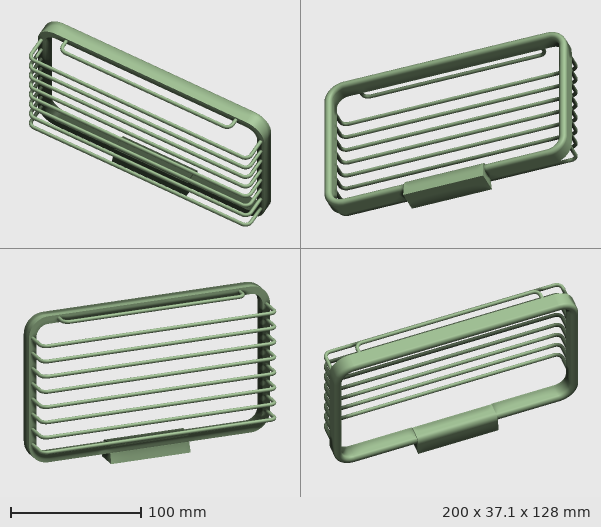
import cadquery as cq
import math


frame_width = 200.0
frame_height = 120.0
frame_depth = 13.0
bar_thickness = 6.2
corner_radius = 16.0
back_fillet = 3.0
front_face = -frame_depth
bar_bottom = -frame_height / 2
bar_top = bar_bottom + bar_thickness

wire_radius = 1.5
wire_inset = 3.0
bend_radius = 5.0
shelf_wire_count = 8
shelf_wire_pitch = 12.5
shelf_wire_reach = 20.0
shelf_wire_span = frame_width - 2 * wire_inset
guard_wire_reach = 10.0
guard_wire_span = 150.0
guard_wire_height = frame_height / 2 - wire_inset

mount_width = 66.0
mount_drop = 7.99
mount_rise = 1.2
mount_back = 2.64
mount_front = -15.86
mount_bottom = bar_bottom - mount_drop
mount_top = bar_top + mount_rise
mount_height = mount_top - mount_bottom
front_slope = math.radians(15.0)
back_slope = math.radians(5.0)
end_draft = math.radians(2.0)
top_back_radius = 5.0

notch_depth = 1.2
notch_floor = bar_top - notch_depth
notch_width = mount_width - 2 * (bar_top - mount_bottom) * math.tan(end_draft)

pocket_side_wall = 1.9
pocket_back_wall = 2.0
pocket_roof = 0.5
pad_corner_radius = 1.0
pad_width = mount_width - 2 * pocket_side_wall
pad_height = mount_drop - pocket_roof
pad_back = mount_back - pocket_back_wall


def rounded_plate(width, height, radius):
    """Upright plate of the frame's depth with rounded corners."""
    return (
        cq.Workplane("XZ")
        .rect(width, height)
        .extrude(frame_depth)
        .edges("|Y")
        .fillet(radius)
    )


def make_ring():
    """Frame ring with the outer and inner edges of its back rounded."""
    outline = rounded_plate(frame_width, frame_height, corner_radius)
    opening = rounded_plate(
        frame_width - 2 * bar_thickness,
        frame_height - 2 * bar_thickness,
        corner_radius - bar_thickness,
    )
    return outline.cut(opening).faces(">Y").edges().fillet(back_fillet)


def make_notch():
    """Space cut from the top of the lower bar, as wide as the mount is there."""
    return cq.Workplane("XY", origin=(0, front_face / 2, notch_floor)).box(
        notch_width, frame_depth, mount_top - notch_floor, centered=(True, True, False)
    )


def make_wire(span, reach, height):
    """U-shaped rod with two rounded bends and its ends on the front face of the frame."""
    side = span / 2
    front = front_face - reach
    arc_inset = bend_radius * (1 - math.sqrt(0.5))
    path = (
        cq.Workplane("XY", origin=(0, 0, height))
        .moveTo(-side, front_face)
        .lineTo(-side, front + bend_radius)
        .threePointArc((-side + arc_inset, front + arc_inset), (-side + bend_radius, front))
        .lineTo(side - bend_radius, front)
        .threePointArc((side - arc_inset, front + arc_inset), (side, front + bend_radius))
        .lineTo(side, front_face)
    )
    return cq.Workplane("XZ", origin=(-side, front_face, height)).circle(wire_radius).sweep(path)


def make_mount_block():
    """Uncut mount: sloped front and back, drafted ends and a rounded top back edge."""
    top_front = mount_front + mount_height * math.tan(front_slope)
    top_back = mount_back - mount_height * math.tan(back_slope)
    wedge = (
        cq.Workplane("YZ")
        .moveTo(mount_front, mount_bottom)
        .lineTo(mount_back, mount_bottom)
        .lineTo(top_back, mount_top)
        .lineTo(top_front, mount_top)
        .close()
        .extrude(mount_width / 2, both=True)
        .faces(">Z")
        .edges(">Y")
        .fillet(top_back_radius)
    )
    bottom_side = mount_width / 2
    top_side = bottom_side - mount_height * math.tan(end_draft)
    drafted_ends = (
        cq.Workplane("XZ", origin=(0, mount_back, 0))
        .moveTo(-bottom_side, mount_bottom)
        .lineTo(bottom_side, mount_bottom)
        .lineTo(top_side, mount_top)
        .lineTo(-top_side, mount_top)
        .close()
        .extrude(mount_back - mount_front)
    )
    return wedge.intersect(drafted_ends)


def make_bar_clearance():
    """Space in front of the lower bar, which keeps the bar's front face uncovered."""
    depth = front_face - mount_front
    return cq.Workplane("XY", origin=(0, front_face - depth / 2, bar_bottom)).box(
        mount_width, depth, bar_thickness, centered=(True, True, False)
    )


def make_pad(mount_block):
    """Pad below the bar with rounded upper corners and its front flush with the mount."""
    blank = (
        cq.Workplane("XZ", origin=(0, pad_back, mount_bottom + pad_height / 2))
        .rect(pad_width, pad_height)
        .extrude(pad_back - mount_front)
        .edges("|Y and >Z")
        .fillet(pad_corner_radius)
    )
    return blank.intersect(mount_block)


frame = make_ring().cut(make_notch())
for index in range(shelf_wire_count):
    wire_height = (index - (shelf_wire_count - 1) / 2) * shelf_wire_pitch
    frame = frame.union(make_wire(shelf_wire_span, shelf_wire_reach, wire_height))
frame = frame.union(make_wire(guard_wire_span, guard_wire_reach, guard_wire_height))

mount_block = make_mount_block()
pad = make_pad(mount_block)
mount = mount_block.cut(frame).cut(make_bar_clearance()).cut(pad)

result = cq.Compound.makeCompound([frame.solids().val(), mount.solids().val(), pad.solids().val()])